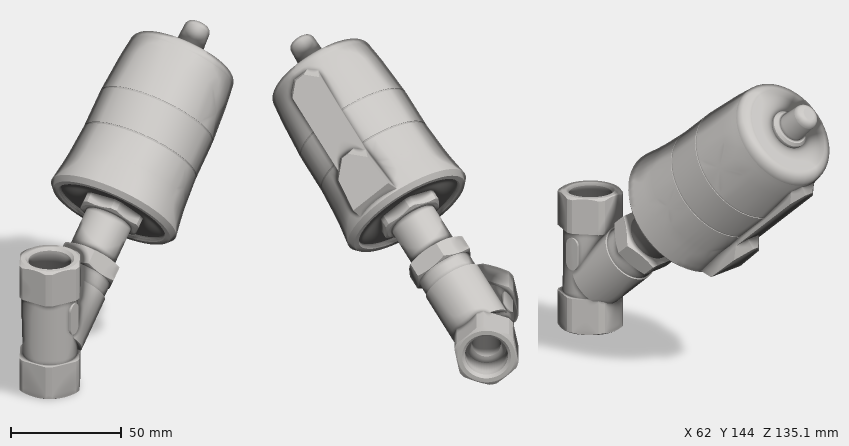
import cadquery as cq
import math

PIPE_LENGTH = 65.0
PIPE_DIAMETER = 24.9
SOCKET_LENGTH = 17.0
HEX_ACROSS_FLATS = 27.1
HEX_CORNER_DIAMETER = 29.7
HEX_FACE_DIAMETER = 26.0
HEX_CHAMFER_LENGTH = 1.0
BORE_DIAMETER = 13.0
THREAD_DIAMETER = 19.5
THREAD_MOUTH_DIAMETER = 22.0
THREAD_MOUTH_DEPTH = 1.3
THREAD_DEPTH = 13.0

PAD_WIDTH = 6.5
PAD_LENGTH = 15.3
PAD_CENTRE_Z = 37.6
PAD_SPAN = 26.5

AXIS_ELEVATION = 40.0
AXIS_HEIGHT = 20.5

BRANCH_START = 4.8
BRANCH_STEP = 30.4
NUT_START = 37.3
NUT_END = 45.8
COLLAR_START = 65.4
RIM = 68.7
RECESS_WALL_START = 69.7
RECESS_FLOOR = 70.9
SKIRT_EDGE = 71.0
LOWER_BAND = 100.0
UPPER_BAND = 118.4
DOME_START = 145.9
CAP_TOP = 150.6
TIP_RING_STEP = 152.2
TIP_RING_TOP = 153.5
TIP_DOME_START = 163.9
TIP_END = 166.8

BRANCH_DIAMETER = 27.5
BRANCH_UPPER_DIAMETER = 26.0
NUT_CHAMFER_DROP = 0.9
NECK_DIAMETER = 22.0
COLLAR_ACROSS_FLATS = 27.5
COLLAR_CORNER_DIAMETER = 30.2
COLLAR_FACE_DIAMETER = 26.5
COLLAR_CHAMFER_LENGTH = 0.9

RIM_INNER_RADIUS = 26.5
RIM_OUTER_RADIUS = 29.0
RECESS_RADIUS = 51.7 / 2
SKIRT_RADIUS = 31.0
SKIRT_MID_RADIUS = 29.0
BAND_RADIUS = 28.0
SHOULDER_MID_RADIUS = 27.1
SHOULDER_RADIUS = 25.5
CAP_RADIUS = 20.3
CAP_BULGE = 1.2
GROOVE_WIDTH = 0.9
GROOVE_DEPTH = 0.3

TIP_RING_RADIUS = 18.1 / 2
TIP_RING_TOP_RADIUS = 7.9
TIP_BASE_RADIUS = 6.6
TIP_DOME_RADIUS = 6.0
TIP_END_RADIUS = 3.0
TIP_BULGE = 0.6

LOW_RIB_ROOT_OFFSET = 24.5
LOW_RIB_CREST_OFFSET = 29.1
LOW_RIB_HALF_WIDTH = 8.0
LOW_RIB_START = 86.4
LOW_RIB_ROOT_CORNER = 141.4
LOW_RIB_ROOT_NOSE = 145.0
LOW_RIB_CREST_CORNER = 136.5
LOW_RIB_CREST_NOSE = 142.1

HIGH_RIB_ROOT_OFFSET = 27.4
HIGH_RIB_CREST_OFFSET = 33.8
HIGH_RIB_HALF_WIDTH = 11.0
HIGH_RIB_NARROWING = 0.11
HIGH_RIB_ROOT_CORNER = 97.0
HIGH_RIB_ROOT_NOSE = 100.5
HIGH_RIB_CREST_START = 74.7
HIGH_RIB_CREST_CORNER = 90.6
HIGH_RIB_CREST_NOSE = 97.6


def hexagon(across_flats, start, end):
    """Hexagonal prism along Z with corners on the X axis."""
    across_corners = across_flats / math.cos(math.radians(30))
    return cq.Workplane("XY").workplane(offset=start).polygon(6, across_corners).extrude(end - start)


def cylinder(diameter, start, end):
    return cq.Workplane("XY").workplane(offset=start).circle(diameter / 2).extrude(end - start)


def turned(points):
    """Solid of revolution about Z from a closed chain of (radius, height) points."""
    return cq.Workplane("XZ").polyline(points).close().revolve(360, (0, 0), (0, 1))


def bottom_socket():
    envelope = turned([
        (0, 0),
        (HEX_FACE_DIAMETER / 2, 0),
        (HEX_CORNER_DIAMETER / 2, HEX_CHAMFER_LENGTH),
        (HEX_CORNER_DIAMETER / 2, SOCKET_LENGTH),
        (0, SOCKET_LENGTH),
    ])
    return hexagon(HEX_ACROSS_FLATS, 0, SOCKET_LENGTH).intersect(envelope)


def bottom_thread():
    return turned([
        (0, 0),
        (THREAD_MOUTH_DIAMETER / 2, 0),
        (THREAD_DIAMETER / 2, THREAD_MOUTH_DEPTH),
        (THREAD_DIAMETER / 2, THREAD_DEPTH),
        (0, THREAD_DEPTH),
    ])


def at_both_ends(feature):
    """The feature together with its mirror image at the top of the pipe."""
    middle = (0, 0, PIPE_LENGTH / 2)
    return feature.union(feature.mirror("XY", middle))


def pads():
    return (
        cq.Workplane("YZ")
        .center(0, PAD_CENTRE_Z)
        .slot2D(PAD_LENGTH, PAD_WIDTH, 90)
        .extrude(PAD_SPAN / 2, both=True)
    )


def union_nut():
    flat_radius = HEX_ACROSS_FLATS / 2
    corner_radius = flat_radius / math.cos(math.radians(30))
    envelope = turned([
        (0, NUT_START),
        (flat_radius, NUT_START),
        (corner_radius, NUT_START + NUT_CHAMFER_DROP),
        (corner_radius, NUT_END - NUT_CHAMFER_DROP),
        (flat_radius, NUT_END),
        (0, NUT_END),
    ])
    return hexagon(HEX_ACROSS_FLATS, NUT_START, NUT_END).intersect(envelope)


def collar():
    """Hexagon with trimmed corners where the neck enters the housing."""
    envelope = turned([
        (0, COLLAR_START),
        (COLLAR_FACE_DIAMETER / 2, COLLAR_START),
        (COLLAR_CORNER_DIAMETER / 2, COLLAR_START + COLLAR_CHAMFER_LENGTH),
        (COLLAR_CORNER_DIAMETER / 2, RECESS_FLOOR),
        (0, RECESS_FLOOR),
    ])
    return hexagon(COLLAR_ACROSS_FLATS, COLLAR_START, RECESS_FLOOR).intersect(envelope)


def arc_middle(start, end, bulge):
    """Point that lies off the chord from start to end by the same bulge outwards and upwards."""
    return ((start[0] + end[0]) / 2 + bulge, (start[1] + end[1]) / 2 + bulge)


def band_groove(station):
    """Shallow ring groove around the housing, centred on the station."""
    start = station - GROOVE_WIDTH / 2
    end = station + GROOVE_WIDTH / 2
    core = cylinder(2 * (BAND_RADIUS - GROOVE_DEPTH), start, end)
    return cylinder(2 * SKIRT_RADIUS, start, end).cut(core)


def housing():
    shoulder = (SHOULDER_RADIUS, DOME_START)
    cap_edge = (CAP_RADIUS, CAP_TOP)
    skirt_middle = (SKIRT_MID_RADIUS, (SKIRT_EDGE + LOWER_BAND) / 2)
    shoulder_middle = (SHOULDER_MID_RADIUS, (UPPER_BAND + DOME_START) / 2)
    shell = (
        cq.Workplane("XZ")
        .moveTo(0, RECESS_FLOOR)
        .lineTo(RECESS_RADIUS, RECESS_FLOOR)
        .lineTo(RECESS_RADIUS, RECESS_WALL_START)
        .lineTo(RIM_INNER_RADIUS, RIM)
        .lineTo(RIM_OUTER_RADIUS, RIM)
        .lineTo(SKIRT_RADIUS, SKIRT_EDGE)
        .threePointArc(skirt_middle, (BAND_RADIUS, LOWER_BAND))
        .lineTo(BAND_RADIUS, UPPER_BAND)
        .threePointArc(shoulder_middle, shoulder)
        .threePointArc(arc_middle(shoulder, cap_edge, CAP_BULGE), cap_edge)
        .lineTo(0, CAP_TOP)
        .close()
        .revolve(360, (0, 0), (0, 1))
    )
    for station in (LOWER_BAND, UPPER_BAND):
        shell = shell.cut(band_groove(station))
    return shell


def tip():
    dome_edge = (TIP_DOME_RADIUS, TIP_DOME_START)
    end_edge = (TIP_END_RADIUS, TIP_END)
    return (
        cq.Workplane("XZ")
        .moveTo(0, CAP_TOP)
        .lineTo(TIP_RING_RADIUS, CAP_TOP)
        .lineTo(TIP_RING_RADIUS, TIP_RING_STEP)
        .lineTo(TIP_RING_TOP_RADIUS, TIP_RING_TOP)
        .lineTo(TIP_BASE_RADIUS, TIP_RING_TOP)
        .lineTo(*dome_edge)
        .threePointArc(arc_middle(dome_edge, end_edge, TIP_BULGE), end_edge)
        .lineTo(0, TIP_END)
        .close()
        .revolve(360, (0, 0), (0, 1))
    )


def rib_outline(start, corner, nose, half_width_at):
    """Plan of a rib as (x, station) points: straight sides, then 45 degree corners up to the nose."""
    nose_half_width = half_width_at(corner) - (nose - corner)
    side = [
        (half_width_at(start), start),
        (half_width_at(corner), corner),
        (nose_half_width, nose),
    ]
    return side + [(-x, station) for x, station in reversed(side)]


def rib(root_offset, root_outline, crest_offset, crest_outline):
    """Rib on the +Y side of the inclined axis, drafted from its root plan to its crest plan."""
    return (
        cq.Workplane("XZ")
        .workplane(offset=-root_offset)
        .polyline(root_outline).close()
        .workplane(offset=root_offset - crest_offset)
        .polyline(crest_outline).close()
        .loft(ruled=True)
    )


def low_rib():
    def half_width_at(station):
        return LOW_RIB_HALF_WIDTH

    root = rib_outline(LOW_RIB_START, LOW_RIB_ROOT_CORNER, LOW_RIB_ROOT_NOSE, half_width_at)
    crest = rib_outline(LOW_RIB_START, LOW_RIB_CREST_CORNER, LOW_RIB_CREST_NOSE, half_width_at)
    return rib(LOW_RIB_ROOT_OFFSET, root, LOW_RIB_CREST_OFFSET, crest)


def high_rib():
    def half_width_at(station):
        return HIGH_RIB_HALF_WIDTH - HIGH_RIB_NARROWING * (station - SKIRT_EDGE)

    root = rib_outline(SKIRT_EDGE, HIGH_RIB_ROOT_CORNER, HIGH_RIB_ROOT_NOSE, half_width_at)
    crest = rib_outline(HIGH_RIB_CREST_START, HIGH_RIB_CREST_CORNER, HIGH_RIB_CREST_NOSE, half_width_at)
    return rib(HIGH_RIB_ROOT_OFFSET, root, HIGH_RIB_CREST_OFFSET, crest)


branch = cylinder(BRANCH_DIAMETER, BRANCH_START, BRANCH_STEP)
branch = branch.union(cylinder(BRANCH_UPPER_DIAMETER, BRANCH_STEP, NUT_START))
neck = cylinder(NECK_DIAMETER, NUT_END, COLLAR_START)

inclined = branch.union(union_nut()).union(neck).union(collar())
inclined = inclined.union(housing()).union(low_rib()).union(high_rib()).union(tip())
inclined = inclined.rotate((0, 0, 0), (1, 0, 0), AXIS_ELEVATION - 90)
inclined = inclined.translate((0, 0, AXIS_HEIGHT))

pipe = cylinder(PIPE_DIAMETER, 0, PIPE_LENGTH).union(at_both_ends(bottom_socket()))
passage = cylinder(BORE_DIAMETER, 0, PIPE_LENGTH).union(at_both_ends(bottom_thread()))

result = pipe.union(pads()).union(inclined).cut(passage)